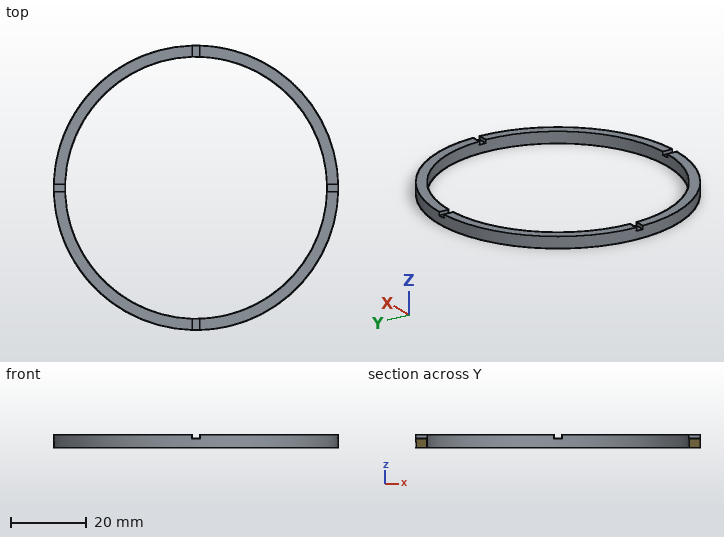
import cadquery as cq

outer_diameter = 75.0
inner_diameter = 69.0
height = 3.5

notch_width = 2.0
notch_depth = 1.0


def ring():
    """Plain flat ring standing on the XY plane."""
    return (
        cq.Workplane("XY")
        .circle(outer_diameter / 2)
        .circle(inner_diameter / 2)
        .extrude(height)
    )


def notch_pair(angle):
    """Bar spanning the ring, which cuts two opposite notches in its top face."""
    return (
        cq.Workplane("XY")
        .workplane(offset=height - notch_depth)
        .transformed(rotate=(0, 0, angle))
        .rect(outer_diameter, notch_width)
        .extrude(notch_depth)
    )


result = ring()
for notch_angle in (0, 90):
    result = result.cut(notch_pair(notch_angle))